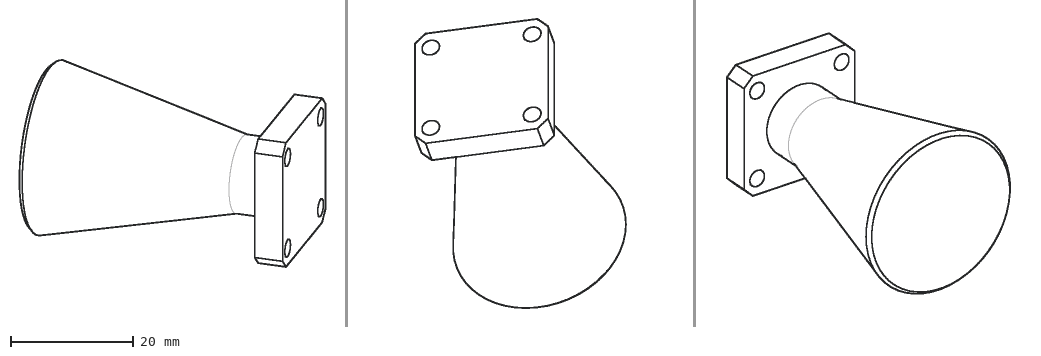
import cadquery as cq

total_length = 44.45
mouth_diameter = 29.0

rim_length = 0.7
mouth_face_diameter = 27.75
neck_diameter = 13.1
neck_length = 6.0

flange_thickness = 4.8
flange_side = 22.25
corner_chamfer = 1.8
hole_diameter = 2.95
hole_spacing_y = 17.0
hole_spacing_z = 16.25

flange_start = total_length - flange_thickness
neck_start = flange_start - neck_length


def make_horn():
    """Revolve the half profile of the mouth, cone and neck about X."""
    return (
        cq.Workplane("XY")
        .moveTo(0, 0)
        .lineTo(0, mouth_face_diameter / 2)
        .lineTo(rim_length, mouth_diameter / 2)
        .lineTo(neck_start, neck_diameter / 2)
        .lineTo(flange_start, neck_diameter / 2)
        .lineTo(flange_start, 0)
        .close()
        .revolve(360, (0, 0, 0), (1, 0, 0))
    )


def make_flange():
    """Square plate with chamfered corners and four through holes."""
    plate = (
        cq.Workplane("YZ", origin=(flange_start, 0, 0))
        .rect(flange_side, flange_side)
        .extrude(flange_thickness)
        .edges("|X")
        .chamfer(corner_chamfer)
    )
    holes = (
        cq.Workplane("YZ", origin=(flange_start, 0, 0))
        .rect(hole_spacing_y, hole_spacing_z, forConstruction=True)
        .vertices()
        .circle(hole_diameter / 2)
        .extrude(flange_thickness)
    )
    return plate.cut(holes)


result = make_horn().union(make_flange())